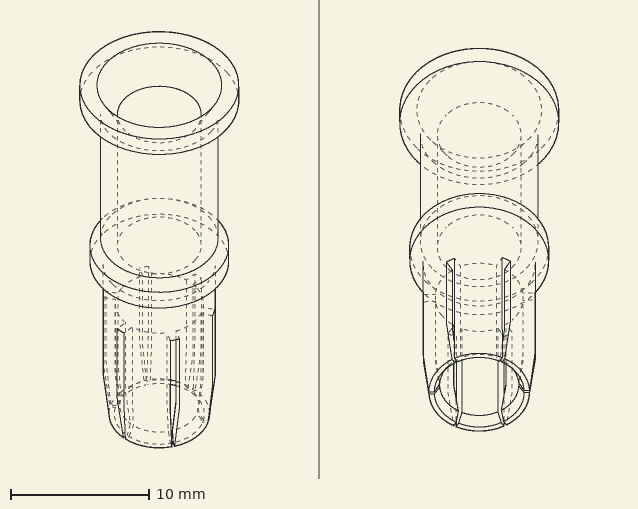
import cadquery as cq
import math

total_height = 32.2
flange_bottom = 30.7
collar_chamfer_top = 17.23
collar_chamfer_bottom = 16.52
collar_bottom = 14.97
slot_top = 10.82
taper_top = 4.0

flange_radius = 11.5 / 2
barrel_radius = 4.25
collar_radius = 5.02
sleeve_radius = 4.05
tip_radius = 3.65
sleeve_fillet = 0.3

neck_fillet = 1.0
flange_cone_angle = math.radians(60)
flange_cone_radius = barrel_radius + neck_fillet * (1 - math.cos(flange_cone_angle))
flange_cone_bottom = flange_bottom - (flange_radius - flange_cone_radius) / math.tan(flange_cone_angle)
neck_bottom = flange_cone_bottom - neck_fillet * math.sin(flange_cone_angle)

cup_mouth_radius = 4.5
cup_radius = 3.03
countersink_depth = 2.85
cup_floor = collar_chamfer_bottom
drill_point_angle = math.radians(118)

socket_radius = 3.2
finger_thickness = sleeve_radius - socket_radius
lead_in_height = 0.85
taper_slope = (sleeve_radius - tip_radius) / taper_top
lead_in_radius = tip_radius + taper_slope * lead_in_height - finger_thickness
lead_in_mouth_radius = 3.25
socket_floor = slot_top
slot_count = 6
slot_width = 0.68
slot_tip_width = 0.2


def outer_body():
    """Turned outside profile, with a concave neck under the flange."""
    neck_mid = (
        barrel_radius + neck_fillet * (1 - math.cos(flange_cone_angle / 2)),
        neck_bottom + neck_fillet * math.sin(flange_cone_angle / 2),
    )
    fillet_mid = sleeve_fillet * (1 - math.sqrt(0.5))
    profile = (
        cq.Workplane("XZ")
        .lineTo(tip_radius, 0)
        .lineTo(sleeve_radius, taper_top)
        .lineTo(sleeve_radius, collar_bottom - sleeve_fillet)
        .threePointArc(
            (sleeve_radius + fillet_mid, collar_bottom - fillet_mid),
            (sleeve_radius + sleeve_fillet, collar_bottom),
        )
        .lineTo(collar_radius, collar_bottom)
        .lineTo(collar_radius, collar_chamfer_bottom)
        .lineTo(barrel_radius, collar_chamfer_top)
        .lineTo(barrel_radius, neck_bottom)
        .threePointArc(neck_mid, (flange_cone_radius, flange_cone_bottom))
        .lineTo(flange_radius, flange_bottom)
        .lineTo(flange_radius, total_height)
        .lineTo(0, total_height)
        .close()
    )
    return profile.revolve(360, (0, 0), (0, 1))


def upper_cup():
    """Countersunk blind bore ending in a drill point."""
    point_depth = cup_radius / math.tan(drill_point_angle / 2)
    profile = (
        cq.Workplane("XZ")
        .moveTo(0, total_height)
        .lineTo(cup_mouth_radius, total_height)
        .lineTo(cup_radius, total_height - countersink_depth)
        .lineTo(cup_radius, cup_floor)
        .lineTo(0, cup_floor - point_depth)
        .close()
    )
    return profile.revolve(360, (0, 0), (0, 1))


def lower_socket():
    """Blind socket from below: a flared lead-in, then walls parallel to the tapered tip."""
    profile = (
        cq.Workplane("XZ")
        .lineTo(lead_in_mouth_radius, 0)
        .lineTo(lead_in_radius, lead_in_height)
        .lineTo(socket_radius, taper_top)
        .lineTo(socket_radius, socket_floor)
        .lineTo(0, socket_floor)
        .close()
    )
    return profile.revolve(360, (0, 0), (0, 1))


def slot(angle):
    """One radial slot, narrowing towards the tip as the fingers close in."""
    half_top = slot_width / 2
    half_tip = slot_tip_width / 2
    return (
        cq.Workplane("YZ")
        .polyline([
            (-half_tip, 0),
            (half_tip, 0),
            (half_top, taper_top),
            (half_top, slot_top),
            (-half_top, slot_top),
            (-half_top, taper_top),
        ])
        .close()
        .extrude(collar_radius)
        .rotate((0, 0, 0), (0, 0, 1), angle)
    )


result = outer_body().cut(upper_cup()).cut(lower_socket())
for index in range(slot_count):
    result = result.cut(slot(index * 360 / slot_count))